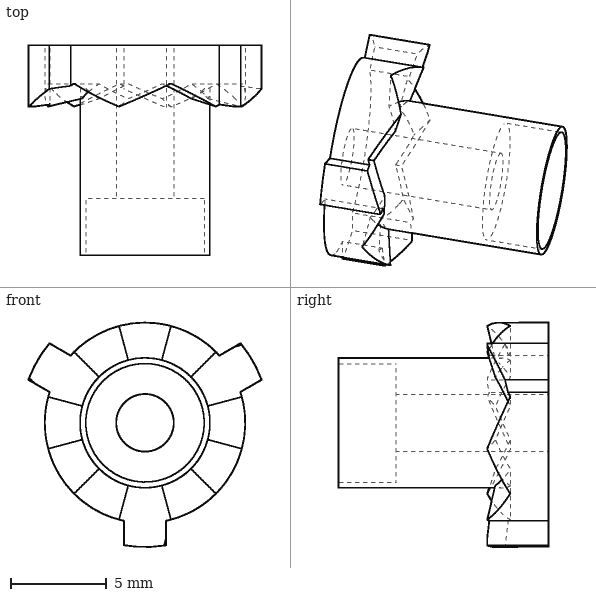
import cadquery as cq
import math

total_length = 11.0
tube_radius = 6.8 / 2
bore_radius = 6.2 / 2
hole_radius = 3.0 / 2
bore_depth = 3.0

flange_radius = 5.25
flange_length = 3.22
valley_height = 2.01
rim_ridge_height = 3.22
tooth_count = 6
first_valley_angle = 15.0

lug_radius = 6.5
lug_width = 2.21
lug_count = 3
first_lug_angle = 30.0


def radial_point(radius, angle, height):
    """Point at a polar position around the part axis."""
    turn = math.radians(angle)
    return cq.Vector(radius * math.cos(turn), radius * math.sin(turn), height)


def lug(angle):
    """Driving lug with parallel sides and a round outer end."""
    bar = cq.Workplane("XY").rect(lug_radius, lug_width).extrude(flange_length)
    bar = bar.translate((lug_radius / 2, 0, 0))
    rounded_end = cq.Workplane("XY").circle(lug_radius).extrude(flange_length)
    return bar.intersect(rounded_end).rotate((0, 0, 0), (0, 0, 1), angle)


def tooth_gap(valley_angle):
    """V-shaped gap whose ridge and valley lines all meet at one point on the axis."""
    half_pitch = 180 / tooth_count
    ridge_reach = 1.5 * lug_radius
    valley_reach = ridge_reach * math.cos(math.radians(half_pitch))
    ridge_slope = (rim_ridge_height - valley_height) / flange_radius
    top = total_length

    apex = cq.Vector(0, 0, valley_height)
    apex_top = cq.Vector(0, 0, top)
    valley = radial_point(valley_reach, valley_angle, valley_height)
    ridges = []
    ridge_tops = []
    for angle in (valley_angle - half_pitch, valley_angle + half_pitch):
        ridges.append(radial_point(ridge_reach, angle, valley_height + ridge_slope * ridge_reach))
        ridge_tops.append(radial_point(ridge_reach, angle, top))

    top_face = [apex_top, *ridge_tops]
    outer_face = [ridges[0], valley, ridges[1], ridge_tops[1], ridge_tops[0]]
    outlines = [top_face, outer_face]
    for ridge, ridge_top in zip(ridges, ridge_tops):
        outlines.append([apex, ridge, valley])
        outlines.append([apex, ridge, ridge_top, apex_top])
    faces = [cq.Face.makeFromWires(cq.Wire.makePolygon(points, close=True)) for points in outlines]
    return cq.Workplane(obj=cq.Solid.makeSolid(cq.Shell.makeShell(faces)))


body = cq.Workplane("XY").circle(flange_radius).extrude(flange_length)
for index in range(lug_count):
    body = body.union(lug(first_lug_angle + index * 360 / lug_count))

for index in range(tooth_count):
    body = body.cut(tooth_gap(first_valley_angle + index * 360 / tooth_count))

body = body.union(cq.Workplane("XY").circle(tube_radius).extrude(total_length))
bore = cq.Workplane("XY").workplane(offset=total_length - bore_depth).circle(bore_radius).extrude(bore_depth)
hole = cq.Workplane("XY").circle(hole_radius).extrude(total_length)
body = body.cut(bore).cut(hole)

result = body.rotate((0, 0, 0), (1, 0, 0), 90)